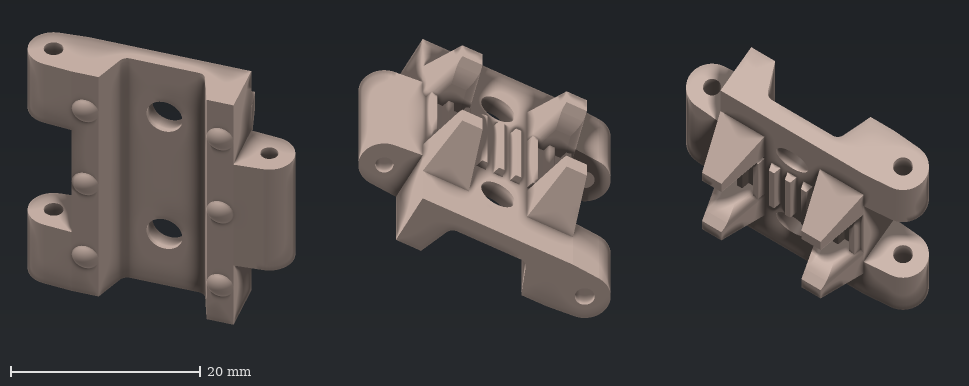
import cadquery as cq
import math


plate_length = 30
plate_half_width = 9
plate_thickness = 6
front_y = -plate_thickness / 2
back_y = plate_thickness / 2
channel_mouth_half_width = 6
channel_floor_half_width = 4.5
web_thickness = 2.0
channel_fillet = 1.0

screw_hole_diameter = 4.0
screw_hole_offset = 8.0

overall_width = 29.5
pin_offset = 12
knuckle_radius = overall_width / 2 - pin_offset
left_knuckle_gap = 13.95
left_knuckle_length = (plate_length - left_knuckle_gap) / 2
right_knuckle_length = 13.8
left_pin_diameter = 2.1
right_pin_diameter = 1.92

foot_diameter = 3
foot_height = 0.7
foot_pitch = 10.0
foot_x = (plate_half_width + channel_mouth_half_width) / 2

peg_height = 6
peg_base_width = 5.52
peg_tip_width = 2.43
peg_inner_z = 4.05
peg_base_outer_z = 9.85
peg_tip_outer_z = 7.08
peg_x = plate_half_width - peg_base_width / 2
peg_side_fillet = 1.08
peg_tip_inner_z = 5.05
peg_bend_distance = 1.98
peg_bend_radius = 4.5

rib_height = 0.9
rib_base_width = 1.15
rib_tip_width = 0.65
rib_length = 8.75
rib_tip_fillet = 0.1
rib_pitch = 2.0
ribs_each_side = 4

overlap = 0.3


def extrude_along_z(sketch, length, middle_z=0):
    """Extrude an XY outline to a length centred on middle_z."""
    return sketch.extrude(length / 2, both=True).translate((0, 0, middle_z))


def make_plate():
    floor_y = back_y - web_thickness
    outline = cq.Workplane("XY").polyline([
        (-plate_half_width, back_y),
        (plate_half_width, back_y),
        (plate_half_width, front_y),
        (channel_mouth_half_width, front_y),
        (channel_floor_half_width, floor_y),
        (-channel_floor_half_width, floor_y),
        (-channel_mouth_half_width, front_y),
        (-plate_half_width, front_y),
    ]).close()
    plate = extrude_along_z(outline, plate_length)
    floor_edges = cq.selectors.BoxSelector(
        (-plate_half_width, floor_y - overlap, -plate_length),
        (plate_half_width, floor_y + overlap, plate_length),
    )
    plate = plate.edges("|Z").edges(floor_edges).fillet(channel_fillet)
    screw_holes = (
        cq.Workplane("XZ")
        .pushPoints([(0, -screw_hole_offset), (0, screw_hole_offset)])
        .circle(screw_hole_diameter / 2)
        .extrude(plate_thickness, both=True)
    )
    return plate.cut(screw_holes)


def make_knuckle(side, length, pin_diameter, middle_z):
    """Rounded lug whose flanks run from the plate corners tangent to the barrel."""
    corner_reach = pin_offset - plate_half_width
    corner_distance = math.hypot(corner_reach, back_y)
    flank_angle = math.acos(knuckle_radius / corner_distance) - math.atan2(corner_reach, back_y)
    tangent_x = side * (pin_offset + knuckle_radius * math.sin(flank_angle))
    tangent_y = knuckle_radius * math.cos(flank_angle)
    root_x = side * plate_half_width
    inside_x = root_x - side * overlap
    outline = (
        cq.Workplane("XY")
        .moveTo(inside_x, front_y)
        .lineTo(root_x, front_y)
        .lineTo(tangent_x, -tangent_y)
        .threePointArc((side * (pin_offset + knuckle_radius), 0), (tangent_x, tangent_y))
        .lineTo(root_x, back_y)
        .lineTo(inside_x, back_y)
        .close()
    )
    pin_hole = cq.Workplane("XY").center(side * pin_offset, 0).circle(pin_diameter / 2)
    lug = extrude_along_z(outline, length, middle_z)
    return lug.cut(extrude_along_z(pin_hole, length, middle_z))


def make_foot(x, z):
    """Spherical cap standing on a front rail."""
    base_radius = foot_diameter / 2
    sphere_radius = (base_radius**2 + foot_height**2) / (2 * foot_height)
    centre_y = front_y - foot_height + sphere_radius
    ball = cq.Workplane("XY").sphere(sphere_radius).translate((x, centre_y, z))
    keep = cq.Workplane("XY").box(foot_diameter, foot_height + overlap, foot_diameter)
    return ball.intersect(keep.translate((x, front_y - (foot_height - overlap) / 2, z)))


def trapezoid(x, base_width, tip_width, height):
    """Outline of a tapered upstand on the back face, sunk slightly into the plate."""
    tip_y = back_y + height
    return cq.Workplane("XY").polyline([
        (x - base_width / 2, back_y - overlap),
        (x - base_width / 2, back_y),
        (x - tip_width / 2, tip_y),
        (x + tip_width / 2, tip_y),
        (x + base_width / 2, back_y),
        (x + base_width / 2, back_y - overlap),
    ]).close()


def make_peg(x):
    """Upper peg: tapered sides, sloping outer face, inner face bending to a slope near the tip."""
    tip_y = back_y + peg_height
    taper = trapezoid(x, peg_base_width, peg_tip_width, peg_height)
    body = taper.extrude(peg_base_outer_z - peg_inner_z).translate((0, 0, peg_inner_z))
    body = body.faces("<Z").edges("not |X").edges("not |Y").fillet(peg_side_fillet)
    bend_y = tip_y - peg_bend_distance
    profile = (
        cq.Workplane("YZ")
        .moveTo(back_y - overlap, peg_inner_z)
        .lineTo(bend_y, peg_inner_z)
        .lineTo(tip_y, peg_tip_inner_z)
        .lineTo(tip_y, peg_tip_outer_z)
        .lineTo(back_y, peg_base_outer_z)
        .lineTo(back_y - overlap, peg_base_outer_z)
        .close()
        .extrude(overall_width, both=True)
    )
    bend_edge = cq.selectors.NearestToPointSelector((0, bend_y, peg_inner_z))
    profile = profile.edges("|X").edges(bend_edge).fillet(peg_bend_radius)
    return body.intersect(profile)


def make_rib(x):
    """Tapered rib with rounded tip corners."""
    rib = extrude_along_z(trapezoid(x, rib_base_width, rib_tip_width, rib_height), rib_length)
    return rib.faces(">Y").edges("|Z").fillet(rib_tip_fillet)


result = make_plate()

left_middle_z = (plate_length - left_knuckle_length) / 2
for z in (-left_middle_z, left_middle_z):
    result = result.union(make_knuckle(-1, left_knuckle_length, left_pin_diameter, z))
result = result.union(make_knuckle(1, right_knuckle_length, right_pin_diameter, 0))

for x in (-foot_x, foot_x):
    for row in (-1, 0, 1):
        result = result.union(make_foot(x, row * foot_pitch))

for x in (-peg_x, peg_x):
    peg = make_peg(x)
    result = result.union(peg).union(peg.mirror("XY"))

for column in range(-ribs_each_side, ribs_each_side + 1):
    result = result.union(make_rib(column * rib_pitch))